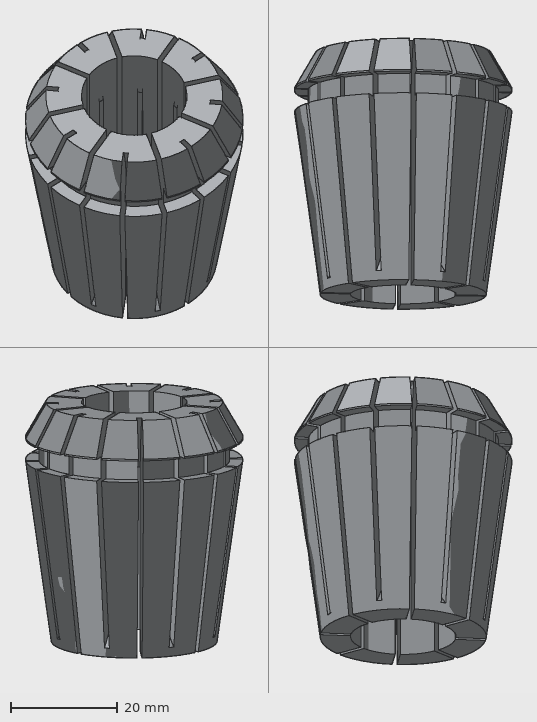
import cadquery as cq
import math


length = 46.0
outer_radius = 41.0 / 2
bore_radius = 19.83 / 2
body_taper = 7.9
nose_taper = 30.0

nose_height = 6.65
rim_height = 0.3
groove_height = 4.15
groove_radius = 18.0

slots_per_end = 8
slot_pitch = 360.0 / slots_per_end
slot_width = 0.95
saw_radius = 25.3
top_slot_bore_exit = 9.5
top_slot_outer_exit = 1.8
bottom_slot_bore_exit = length - 10.4
bottom_slot_end_radius = 14.4

rim_top = length - nose_height
groove_top = rim_top - rim_height
groove_bottom = groove_top - groove_height
nose_radius = outer_radius - nose_height * math.tan(math.radians(nose_taper))
end_radius = outer_radius - groove_bottom * math.tan(math.radians(body_taper))


def make_body():
    """Tapered sleeve with groove, rim and nose, revolved about Z."""
    return (
        cq.Workplane("XZ")
        .moveTo(bore_radius, 0)
        .lineTo(end_radius, 0)
        .lineTo(outer_radius, groove_bottom)
        .lineTo(groove_radius, groove_bottom)
        .lineTo(groove_radius, groove_top)
        .lineTo(outer_radius, groove_top)
        .lineTo(outer_radius, rim_top)
        .lineTo(nose_radius, length)
        .lineTo(bore_radius, length)
        .close()
        .revolve(360, (0, 0, 0), (0, 1, 0))
    )


def arc_middle(start, end):
    """Midpoint of the saw arc from start to end, bulging towards the axis and the slot's closed end."""
    run = end[0] - start[0]
    rise = end[1] - start[1]
    chord = math.hypot(run, rise)
    sagitta = saw_radius - math.sqrt(saw_radius**2 - (chord / 2) ** 2)
    side = math.copysign(1, rise)
    return (
        (start[0] + end[0]) / 2 - side * sagitta * rise / chord,
        (start[1] + end[1]) / 2 + side * sagitta * run / chord,
    )


def make_slot(floor_start, floor_end, open_height):
    """Radial slot along +X: a curved floor from the bore outwards, open towards open_height."""
    return (
        cq.Workplane("XZ")
        .moveTo(0, floor_start[1])
        .lineTo(*floor_start)
        .threePointArc(arc_middle(floor_start, floor_end), floor_end)
        .lineTo(outer_radius, floor_end[1])
        .lineTo(outer_radius, open_height)
        .lineTo(0, open_height)
        .close()
        .extrude(slot_width / 2, both=True)
    )


def cut_ring(body, slot, first_angle):
    """Cut one slot at every pitch around the axis."""
    for index in range(slots_per_end):
        body = body.cut(slot.rotate((0, 0, 0), (0, 0, 1), first_angle + index * slot_pitch))
    return body


top_slot_exit_radius = end_radius + top_slot_outer_exit * math.tan(math.radians(body_taper))
top_slot = make_slot(
    (bore_radius, top_slot_bore_exit),
    (top_slot_exit_radius, top_slot_outer_exit),
    length,
)
bottom_slot = make_slot(
    (bore_radius, bottom_slot_bore_exit),
    (bottom_slot_end_radius, length),
    0,
)

result = make_body()
result = cut_ring(result, top_slot, 0)
result = cut_ring(result, bottom_slot, slot_pitch / 2)